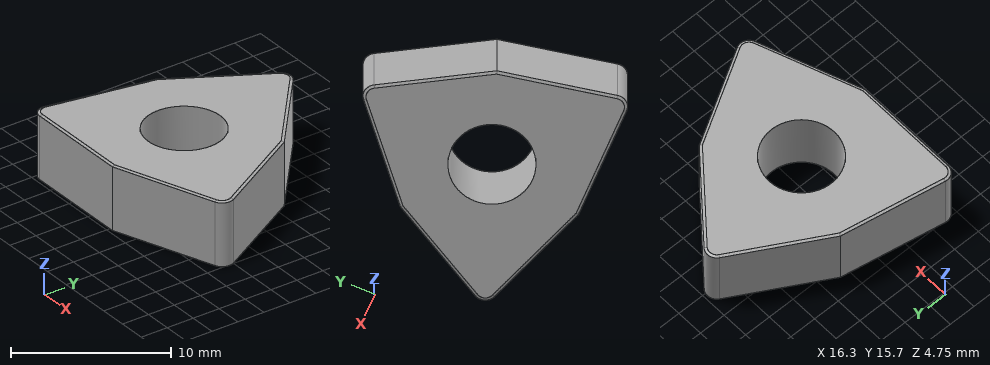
import cadquery as cq
import math

inscribed_radius = 6.35
nose_radius = 0.8
thickness = 4.75
hole_diameter = 5.5
corner_angle = 80.0
corner_count = 3
first_corner_direction = 100.0

land_width = 0.2
land_height = 0.07

corner_pitch = 360.0 / corner_count
half_nose_sweep = (180.0 - corner_angle) / 2
half_obtuse_turn = corner_pitch / 2 - half_nose_sweep


def polar(radius, degrees):
    angle = math.radians(degrees)
    return cq.Vector(radius * math.cos(angle), radius * math.sin(angle))


def trigon_wire(inset, height):
    """Closed trigon outline, moved inward by inset and placed at the given height."""
    side_distance = inscribed_radius - inset
    radius = nose_radius - inset
    nose_centre_distance = (side_distance - radius) / math.sin(math.radians(corner_angle / 2))
    obtuse_distance = side_distance / math.cos(math.radians(half_obtuse_turn))
    level = cq.Vector(0, 0, height)

    edges = []
    for index in range(corner_count):
        direction = first_corner_direction + index * corner_pitch
        centre = polar(nose_centre_distance, direction) + level
        nose_start = centre + polar(radius, direction - half_nose_sweep)
        nose_middle = centre + polar(radius, direction)
        nose_end = centre + polar(radius, direction + half_nose_sweep)
        previous_obtuse = polar(obtuse_distance, direction - corner_pitch / 2) + level
        next_obtuse = polar(obtuse_distance, direction + corner_pitch / 2) + level
        edges.append(cq.Edge.makeLine(previous_obtuse, nose_start))
        edges.append(cq.Edge.makeThreePointArc(nose_start, nose_middle, nose_end))
        edges.append(cq.Edge.makeLine(nose_end, next_obtuse))
    return cq.Wire.assembleEdges(edges)


def insert_body():
    """Straight-sided body with a sloped land at each end, lofted through four outlines."""
    sections = [
        trigon_wire(land_width, 0),
        trigon_wire(0, land_height),
        trigon_wire(0, thickness - land_height),
        trigon_wire(land_width, thickness),
    ]
    return cq.Workplane(cq.Solid.makeLoft(sections, True))


def clamping_hole():
    return cq.Workplane("XY").circle(hole_diameter / 2).extrude(thickness)


result = insert_body().cut(clamping_hole())